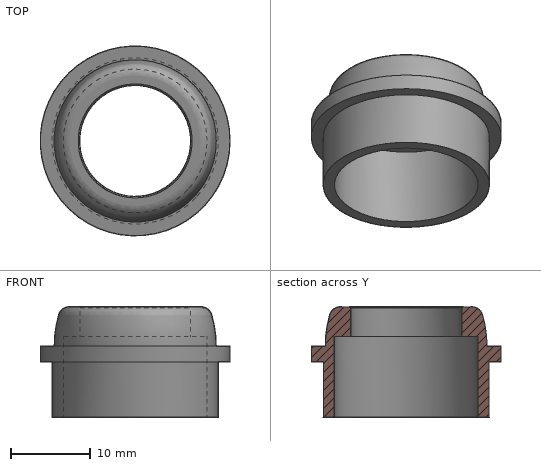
import cadquery as cq
import math

overall_height = 14.0
flange_bottom = 7.0
flange_thickness = 2.0
flange_top = flange_bottom + flange_thickness

spigot_diameter = 21.0
flange_diameter = 24.0
dome_base_diameter = 20.5
dome_profile_radius = 14.0
dome_edge_fillet = 1.5

bore_diameter = 14.0
bore_chamfer = 0.2
counterbore_diameter = 18.15
counterbore_depth = 10.2


def cylinder(diameter, bottom, height):
    """Upright cylinder centred on the Z axis."""
    return cq.Workplane("XY").workplane(offset=bottom).circle(diameter / 2).extrude(height)


def make_dome():
    """Barrel-sided collar: vertical at the flange, curving inward to a rounded top edge."""
    base_radius = dome_base_diameter / 2
    dome_height = overall_height - flange_top
    arc_centre_radius = base_radius - dome_profile_radius

    def side_radius(height):
        return arc_centre_radius + math.sqrt(dome_profile_radius**2 - height**2)

    middle_height = dome_height / 2
    profile = (
        cq.Workplane("XZ")
        .moveTo(0, flange_top)
        .lineTo(base_radius, flange_top)
        .threePointArc(
            (side_radius(middle_height), flange_top + middle_height),
            (side_radius(dome_height), overall_height),
        )
        .lineTo(0, overall_height)
        .close()
    )
    dome = profile.revolve(360, (0, 0, 0), (0, 1, 0))
    return dome.faces(">Z").edges().fillet(dome_edge_fillet)


def make_bore():
    """Through bore with a small chamfer at the top and a counterbore from below."""
    bore = cylinder(bore_diameter, 0, overall_height)
    counterbore = cylinder(counterbore_diameter, 0, counterbore_depth)
    chamfer_cone = cq.Workplane(
        cq.Solid.makeCone(
            bore_diameter / 2,
            bore_diameter / 2 + bore_chamfer,
            bore_chamfer,
            pnt=cq.Vector(0, 0, overall_height - bore_chamfer),
        )
    )
    return bore.union(counterbore).union(chamfer_cone)


spigot = cylinder(spigot_diameter, 0, flange_bottom)
flange = cylinder(flange_diameter, flange_bottom, flange_thickness)

result = spigot.union(flange).union(make_dome()).cut(make_bore())